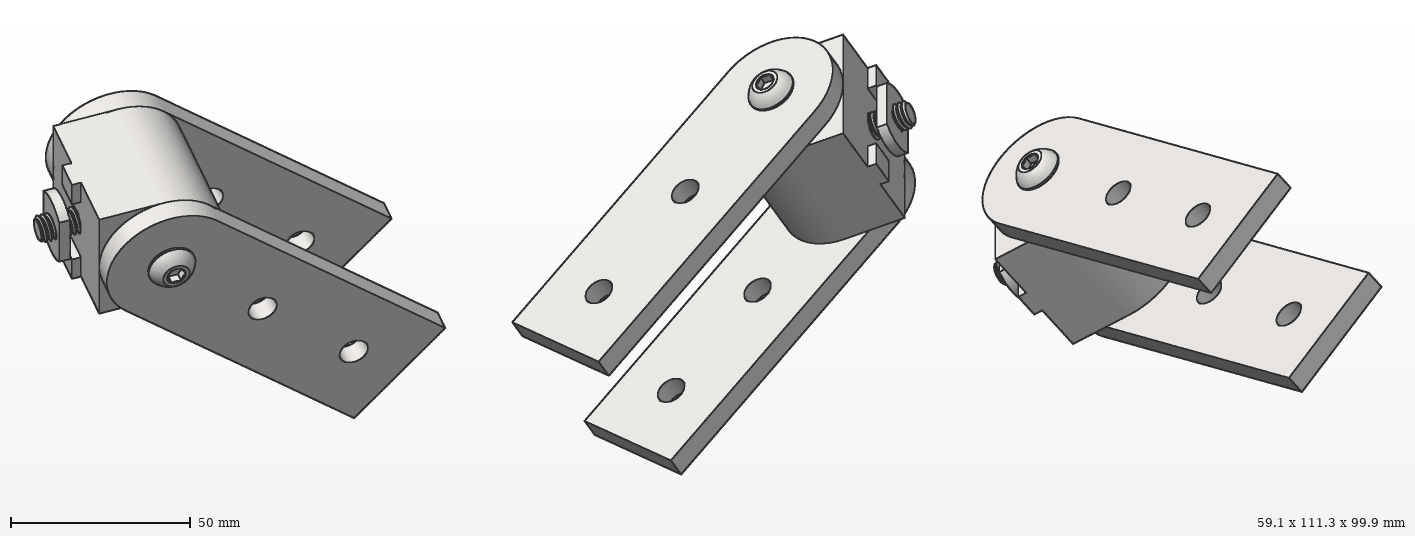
import cadquery as cq
import math


block_size = 38.1
block_half = block_size / 2
tab_width = 7.9
tab_height = 7.9
tab_depth = 2.7

arm_thickness = 6.3
arm_half_width = block_half
arm_length = 95.3
arm_tilt = -45
arm_hole_diameter = 8.3
arm_hole_pitch = block_size
arm_hole_count = 2
arm_outer_x = block_half + arm_thickness

screw_diameter = 7.9
head_radius = 6.9
head_height = 4.2
head_rim_height = 0.7
head_flat_radius = 3.9
socket_across_flats = 4.8
socket_depth = 2.7
shank_length = 2 * arm_thickness

overall_length = 111.3
arm_reach = (arm_length + arm_half_width) * math.cos(math.radians(arm_tilt))
bolt_diameter = 7.9
bolt_radius = bolt_diameter / 2
bolt_tip = overall_length - arm_reach
bolt_seat_y = 7.6
bolt_shank_length = bolt_tip + bolt_seat_y
bolt_head_diameter = 11.9
bolt_head_height = bolt_diameter
counterbore_diameter = 12.7

thread_length = 12.7
thread_turns = 9
thread_pitch = thread_length / thread_turns
thread_depth = 0.83
thread_half_angle = 30
groove_root_half_width = thread_pitch / 8
groove_overrun = 0.1
shank_seam_angle = 60

nut_diameter = 20.5
nut_width = 13.0
nut_thickness = 3.2
nut_gap = 4.1


def hex_socket(across_flats, depth):
    """Hexagonal recess in the XY plane, going down from Z = 0, with a conical lead-in."""
    corner_radius = across_flats / 2 / math.cos(math.pi / 6)
    hexagon = cq.Workplane("XY").polygon(6, 2 * corner_radius).extrude(-depth)
    lead_in_depth = corner_radius - across_flats / 2
    lead_in = cq.Solid.makeCone(
        across_flats / 2, corner_radius, lead_in_depth, pnt=cq.Vector(0, 0, -lead_in_depth)
    )
    return hexagon.union(cq.Workplane(lead_in))


def make_block():
    """Block with a rounded back, slot tabs on its front and bores for all three screws."""
    block = (
        cq.Workplane("YZ")
        .moveTo(0, block_half)
        .lineTo(-block_half, block_half)
        .lineTo(-block_half, -block_half)
        .lineTo(0, -block_half)
        .threePointArc((block_half, 0), (0, block_half))
        .close()
        .extrude(block_half, both=True)
    )
    for side in (1, -1):
        tab = cq.Workplane("XY").box(tab_width, tab_depth, tab_height)
        tab_z = side * (block_half - tab_height / 2)
        block = block.union(tab.translate((0, -block_half - tab_depth / 2, tab_z)))

    bolt_bore = cq.Workplane("XZ").circle(bolt_radius).extrude(block_half, both=True)
    counterbore = (
        cq.Workplane("XZ", origin=(0, bolt_seat_y, 0))
        .circle(counterbore_diameter / 2)
        .extrude(-block_half)
    )
    block = block.cut(bolt_bore).cut(counterbore)

    screw_bore_depth = shank_length - arm_thickness
    for side in (1, -1):
        screw_bore = (
            cq.Workplane("YZ", origin=(side * block_half, 0, 0))
            .circle(screw_diameter / 2)
            .extrude(-side * screw_bore_depth)
        )
        block = block.cut(screw_bore)
    return block


def make_arm(side):
    """Flat bar with a round pivot end, a square far end and a row of holes."""
    hole_places = [(arm_hole_pitch * (i + 1), 0) for i in range(arm_hole_count)]
    arm = (
        cq.Workplane("YZ")
        .moveTo(0, arm_half_width)
        .lineTo(arm_length, arm_half_width)
        .lineTo(arm_length, -arm_half_width)
        .lineTo(0, -arm_half_width)
        .threePointArc((-arm_half_width, 0), (0, arm_half_width))
        .close()
        .extrude(arm_thickness)
    )
    pivot_hole = cq.Workplane("YZ").circle(screw_diameter / 2).extrude(arm_thickness)
    row_holes = (
        cq.Workplane("YZ").pushPoints(hole_places).circle(arm_hole_diameter / 2).extrude(arm_thickness)
    )
    arm = arm.cut(pivot_hole).cut(row_holes).rotate((0, 0, 0), (1, 0, 0), arm_tilt)
    inner_x = block_half if side > 0 else -arm_outer_x
    return arm.translate((inner_x, 0, 0))


def make_pivot_screw(side):
    """Button-head screw, turned about Z with the head upward, then laid along X."""
    dome_center = (
        head_flat_radius**2 + head_height**2 - head_radius**2 - head_rim_height**2
    ) / (2 * (head_height - head_rim_height))
    dome_radius = math.hypot(head_radius, head_rim_height - dome_center)
    dome_mid_height = (head_rim_height + head_height) / 2
    dome_mid_radius = math.sqrt(dome_radius**2 - (dome_mid_height - dome_center) ** 2)

    screw = (
        cq.Workplane("XZ")
        .moveTo(0, -shank_length)
        .lineTo(screw_diameter / 2, -shank_length)
        .lineTo(screw_diameter / 2, 0)
        .lineTo(head_radius, 0)
        .lineTo(head_radius, head_rim_height)
        .threePointArc((dome_mid_radius, dome_mid_height), (head_flat_radius, head_height))
        .lineTo(0, head_height)
        .close()
        .revolve(360, (0, 0, 0), (0, 1, 0))
    )
    socket = hex_socket(socket_across_flats, socket_depth).rotate((0, 0, 0), (0, 0, 1), 90)
    screw = screw.cut(socket.translate((0, 0, head_height)))
    return screw.rotate((0, 0, 0), (0, 1, 0), side * 90).translate((side * arm_outer_x, 0, 0))


def make_thread_groove():
    """Right-hand helical groove about Z that runs out past the bolt tip."""
    start_z = bolt_tip - thread_length
    root_radius = bolt_radius - thread_depth
    outer_radius = bolt_radius + groove_overrun
    flank_rise = (outer_radius - root_radius) * math.tan(math.radians(thread_half_angle))
    groove_outer_half_width = groove_root_half_width + flank_rise

    helix_height = thread_length + thread_pitch
    helix = cq.Wire.makeHelix(thread_pitch, helix_height, root_radius).translate(cq.Vector(0, 0, start_z))
    return (
        cq.Workplane("XZ")
        .moveTo(root_radius, start_z - groove_root_half_width)
        .lineTo(outer_radius, start_z - groove_outer_half_width)
        .lineTo(outer_radius, start_z + groove_outer_half_width)
        .lineTo(root_radius, start_z + groove_root_half_width)
        .close()
        .sweep(cq.Workplane(helix), isFrenet=True)
        .rotate((0, 0, 0), (0, 0, 1), 180)
    )


def make_clamp_bolt():
    """Cap screw built along Z with its tip upward, then turned to point along -Y."""
    shank = (
        cq.Workplane("XY", origin=(0, 0, -bolt_seat_y))
        .circle(bolt_radius)
        .extrude(bolt_shank_length)
    )
    chamfered_shank = shank.faces(">Z").chamfer(thread_depth)
    threaded_shank = (
        shank.rotate((0, 0, 0), (0, 0, 1), shank_seam_angle)
        .cut(make_thread_groove())
        .intersect(chamfered_shank)
    )
    head = (
        cq.Workplane("XY", origin=(0, 0, -bolt_seat_y))
        .circle(bolt_head_diameter / 2)
        .extrude(-bolt_head_height)
    )
    bolt = threaded_shank.union(head)
    return bolt.rotate((0, 0, 0), (1, 0, 0), 90)


def make_slot_nut(bolt):
    """Disc with two flat sides, threaded to match the bolt that passes through it."""
    disc = cq.Workplane("XZ").circle(nut_diameter / 2).extrude(nut_thickness)
    flats = cq.Workplane("XZ").rect(nut_width, nut_diameter).extrude(nut_thickness)
    nut = disc.intersect(flats).translate((0, -block_half - nut_gap, 0))
    return nut.cut(bolt)


block = make_block()
arms = [make_arm(side) for side in (1, -1)]
pivot_screws = [make_pivot_screw(side) for side in (1, -1)]
clamp_bolt = make_clamp_bolt()
slot_nut = make_slot_nut(clamp_bolt)

result = cq.Compound.makeCompound(
    [
        block.val(),
        *[arm.val() for arm in arms],
        *[screw.val() for screw in pivot_screws],
        clamp_bolt.val(),
        slot_nut.val(),
    ]
)